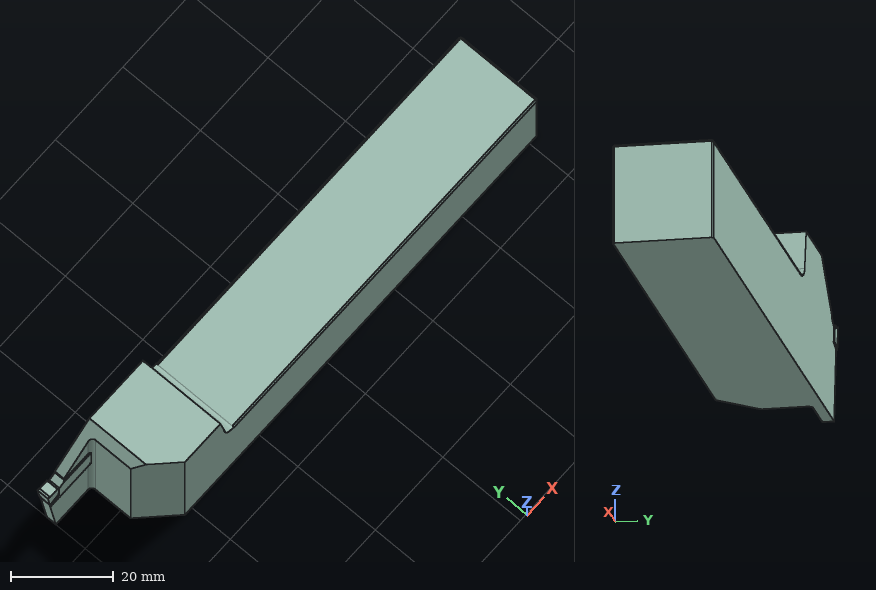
import cadquery as cq

length = 125.0
shank_size = 20.0
head_height = 30.0
total_width = 20.2
edge_chamfer = 0.4

head_front_x = 13.0
head_corner = 7.5
head_top_start_x = 15.1
head_top_end_x = 31.0
step_foot_x = 32.9
step_fillet = 2.5
shank_start_x = 35.0

blade_thickness = 2.4
blade_foot_x = 2.5
blade_root_radius = 1.0
ramp_foot_x = 4.9
ramp_foot_z = 21.0
band_bottom_z = 14.4
band_top_z = 20.4
band_rise = 0.2

insert_width = 2.8
insert_back_x = 3.2
insert_tip_z = 20.0
insert_back_top_z = 19.5
insert_back_relief = 0.4
insert_relief_start_z = 18.0
rake_end_x = 0.6
rake_end_z = 19.6
insert_back_bottom_z = 16.0
insert_front_bottom_z = 15.1

side_y = shank_size
blade_y = side_y - blade_thickness
insert_y = total_width - insert_width


def front_x(z):
    """X of the leaning front edge shared by the blade and the insert."""
    return blade_foot_x * (1 - z / insert_tip_z)


def extrude_y(points, y_start, y_end):
    """Extrude an outline of (x, z) points from y_start to y_end."""
    outline = cq.Workplane("XZ", origin=(0, y_start, 0)).polyline(points).close()
    return outline.extrude(y_start - y_end)


def make_insert():
    return extrude_y(
        [
            (0, insert_tip_z),
            (rake_end_x, rake_end_z),
            (insert_back_x - insert_back_relief, insert_back_top_z),
            (insert_back_x, insert_relief_start_z),
            (insert_back_x, insert_back_bottom_z),
            (front_x(insert_front_bottom_z), insert_front_bottom_z),
        ],
        insert_y,
        total_width,
    )


def side_profile():
    profile = extrude_y(
        [
            (blade_foot_x, 0),
            (length, 0),
            (length, shank_size),
            (step_foot_x, shank_size),
            (head_top_end_x, head_height),
            (head_top_start_x, head_height),
            (ramp_foot_x, ramp_foot_z),
            (ramp_foot_x, band_top_z),
            (insert_back_x, insert_back_top_z),
            (insert_back_x, insert_back_bottom_z),
            (front_x(insert_front_bottom_z), insert_front_bottom_z),
        ],
        0,
        side_y,
    )
    step_corner = cq.selectors.NearestToPointSelector((step_foot_x, side_y / 2, shank_size))
    return profile.edges(step_corner).fillet(step_fillet)


def plan_profile():
    """Plan solid: thin blade, filleted root, head with a cut corner and shank."""
    return (
        cq.Workplane("XY")
        .moveTo(0, side_y)
        .lineTo(0, blade_y)
        .lineTo(head_front_x - blade_root_radius, blade_y)
        .radiusArc((head_front_x, blade_y - blade_root_radius), blade_root_radius)
        .lineTo(head_front_x, head_corner)
        .lineTo(head_front_x + head_corner, 0)
        .lineTo(length, 0)
        .lineTo(length, side_y)
        .close()
        .extrude(head_height)
    )


def raised_band():
    """Band standing proud of the blade face, with a bevelled top edge."""
    return (
        cq.Workplane("YZ")
        .polyline(
            [
                (side_y, band_bottom_z),
                (blade_y - band_rise, band_bottom_z),
                (blade_y - band_rise, band_top_z - band_rise),
                (blade_y, band_top_z),
                (side_y, band_top_z),
            ]
        )
        .close()
        .extrude(head_front_x)
    )


def shank_edge_wedge(edge_y, inward):
    """Wedge that chamfers one long top edge; inward is +1 or -1 along Y."""
    return (
        cq.Workplane("YZ", origin=(shank_start_x, 0, 0))
        .moveTo(edge_y, shank_size)
        .lineTo(edge_y + inward * edge_chamfer, shank_size)
        .lineTo(edge_y, shank_size - edge_chamfer)
        .close()
        .extrude(length - shank_start_x)
    )


def make_holder():
    """Head, blade and shank; the side outline leaves the seat for the insert."""
    side = side_profile()
    holder = side.intersect(plan_profile()).union(side.intersect(raised_band()))
    holder = holder.faces(">X").edges("|Z or >Z").chamfer(edge_chamfer)
    for edge_y, inward in [(0, 1), (side_y, -1)]:
        holder = holder.cut(shank_edge_wedge(edge_y, inward))
    return holder


insert = make_insert()
holder = make_holder()

result = cq.Compound.makeCompound([holder.val(), insert.val()])